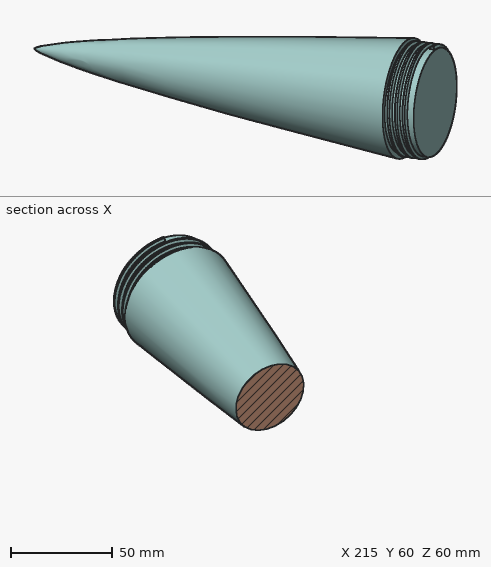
import cadquery as cq

total_length = 215.0
base_radius = 30.0
neck_length = 15.5
neck_radius = 27.3
nose_length = total_length - neck_length

nose_exponent = 0.71
profile_sections = 12

thread_pitch = 4.0
thread_turns = 3.5
thread_crest_radius = 28.8
thread_root_width = 3.2
thread_crest_width = 1.0
thread_start = 199.0
thread_overlap = 0.5


def nose_point(step):
    """Profile point; squared spacing crowds the points towards the tip."""
    fraction = (step / profile_sections) ** 2
    return nose_length * fraction, base_radius * fraction**nose_exponent


def make_body():
    """Curved nose and plain cylindrical neck, revolved about X."""
    profile = [nose_point(step) for step in range(profile_sections + 1)]
    return (
        cq.Workplane("XY")
        .spline(profile)
        .lineTo(nose_length, neck_radius)
        .lineTo(total_length, neck_radius)
        .lineTo(total_length, 0)
        .close()
        .revolve(360, (0, 0, 0), (1, 0, 0))
    )


def make_thread():
    """Trapezoidal ridge swept along a helix, starting on the -Z side."""
    thread_length = thread_pitch * thread_turns
    helix = cq.Wire.makeHelix(thread_pitch, thread_length, neck_radius)
    half_root = thread_root_width / 2
    half_crest = thread_crest_width / 2
    inner_radius = neck_radius - thread_overlap
    ridge = (
        cq.Workplane("XZ")
        .polyline([
            (inner_radius, -half_root),
            (thread_crest_radius, -half_crest),
            (thread_crest_radius, half_crest),
            (inner_radius, half_root),
        ])
        .close()
        .sweep(cq.Workplane(helix), isFrenet=True)
    )
    return ridge.rotate((0, 0, 0), (0, 1, 0), 90).translate((thread_start, 0, 0))


result = make_body().union(make_thread())